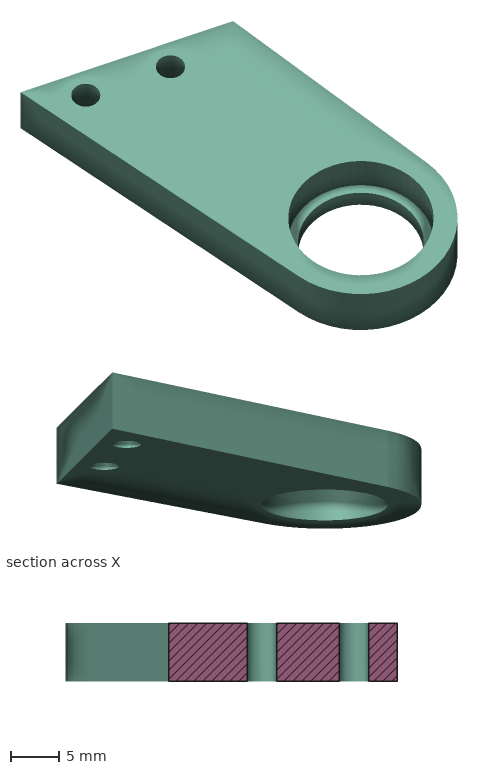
import cadquery as cq
import math

length = 39.0
thickness = 6.0
base_width = 23.85

eye_radius = 10.0
eye_x = length - eye_radius
eye_y = 25.85

seat_diameter = 15.0
seat_depth = 4.0
bore_diameter = 13.0

hole_diameter = 3.0
hole_edge_distance = 3.0
first_hole_y = 6.05
hole_spacing = 9.5
hole_count = 2


def tangent_point(corner_y, side):
    """Point where the line from (0, corner_y) touches the eye; side is +1 above, -1 below."""
    rise = eye_y - corner_y
    center_angle = math.atan2(rise, eye_x)
    spread = math.asin(eye_radius / math.hypot(eye_x, rise))
    normal_angle = center_angle + side * (spread + math.pi / 2)
    return (
        eye_x + eye_radius * math.cos(normal_angle),
        eye_y + eye_radius * math.sin(normal_angle),
    )


def make_plate():
    """Tapered plate whose sides run tangent into the round eye."""
    return (
        cq.Workplane("XY")
        .moveTo(0, 0)
        .lineTo(*tangent_point(0, -1))
        .threePointArc((length, eye_y), tangent_point(base_width, 1))
        .lineTo(0, base_width)
        .close()
        .extrude(thickness)
    )


def cut_stepped_bore(body):
    """Through bore with a wider seat from the top, leaving a lip at the bottom."""
    return (
        body.faces(">Z")
        .workplane(origin=(eye_x, eye_y, thickness))
        .cboreHole(bore_diameter, seat_diameter, seat_depth)
    )


def cut_mounting_holes(body):
    """Row of through holes parallel to the straight edge."""
    centers = [(hole_edge_distance, first_hole_y + i * hole_spacing) for i in range(hole_count)]
    return (
        body.faces(">Z")
        .workplane(origin=(0, 0, thickness))
        .pushPoints(centers)
        .hole(hole_diameter)
    )


result = cut_mounting_holes(cut_stepped_bore(make_plate()))